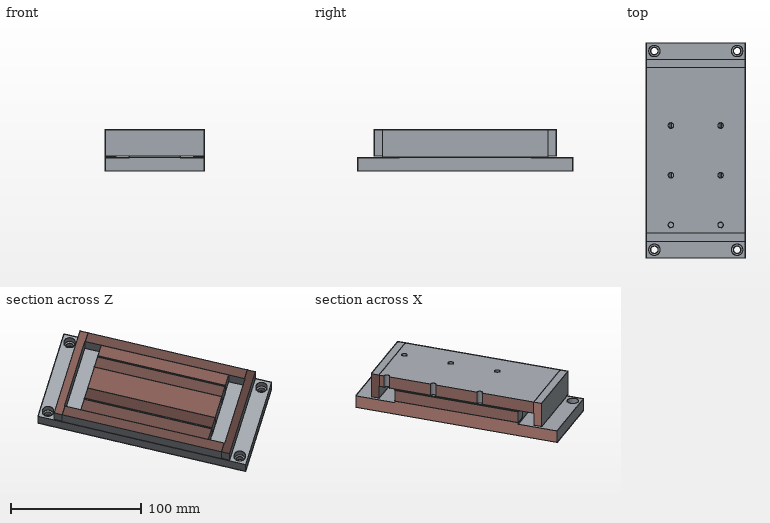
import cadquery as cq


slide_width = 76.2
slide_height = 31.75

base_length = 165.1
base_thickness = 10.3
mount_spacing_x = 63.5
mount_spacing_y = 152.4
mount_hole_diameter = 5.56
mount_head_diameter = 8.73
mount_head_depth = 5.6

carriage_length = 127.0
carriage_clearance = 0.5
cap_length = 6.35
cap_height = 20.32
tap_diameter = 4.17
tap_pitch = 38.1
tap_columns = 2
tap_rows = 3
tap_center_y = -19.05

rail_length = 101.6
rail_width = 9.7
rail_height = 9.5
rail_chamfer = 1.0
rail_gap = 0.2
rail_pair_center = 19.8
ledge_height = 1.4

carriage_bottom = base_thickness + carriage_clearance
cap_bottom = slide_height - cap_height
rail_bottom = base_thickness + ledge_height
rail_top = rail_bottom + rail_height
inner_rail_face = rail_pair_center - rail_gap / 2
outer_rail_face = rail_pair_center + rail_gap / 2
rib_half_width = inner_rail_face - rail_width
leg_inner_face = outer_rail_face + rail_width


def block(width, length, bottom, top, y=0.0):
    """Box centred on X = 0 that spans the given levels."""
    box = cq.Workplane("XY").box(width, length, top - bottom, centered=(True, True, False))
    return box.translate((0, y, bottom))


def make_base():
    """Plate with a ledge under the inner rails, a rib between them and counterbored corner holes."""
    plate = block(slide_width, base_length, 0, base_thickness)
    ledge = block(2 * inner_rail_face, rail_length, base_thickness, rail_bottom)
    rib = block(2 * rib_half_width, rail_length, rail_bottom, rail_top)
    plate = (
        plate.faces(">Z").workplane()
        .rect(mount_spacing_x, mount_spacing_y, forConstruction=True).vertices()
        .cboreHole(mount_hole_diameter, mount_head_diameter, mount_head_depth)
    )
    return plate.union(ledge).union(rib)


def make_carriage():
    """Inverted channel whose legs hold the outer rails, relieved above the inner rails and the rib."""
    body = block(slide_width, carriage_length, carriage_bottom, slide_height)
    channel = block(2 * leg_inner_face, carriage_length, carriage_bottom, rail_top)
    relief = block(2 * outer_rail_face, carriage_length, rail_top, rail_top + carriage_clearance)
    taps = (
        cq.Workplane("XY").workplane(offset=rail_top).center(0, tap_center_y)
        .rarray(tap_pitch, tap_pitch, tap_columns, tap_rows)
        .circle(tap_diameter / 2).extrude(slide_height - rail_top)
    )
    return body.cut(channel).cut(relief).cut(taps)


def make_end_cap(side):
    """Plain plate closing one end of the carriage."""
    center_y = side * (carriage_length + cap_length) / 2
    return block(slide_width, cap_length, cap_bottom, slide_height, center_y)


def make_inner_rail():
    """Rail on the +X side of the base rib, with its upper running edge chamfered."""
    return (
        block(rail_width, rail_length, rail_bottom, rail_top)
        .faces(">X").edges(">Z").chamfer(rail_chamfer)
        .translate((rib_half_width + rail_width / 2, 0, 0))
    )


def make_outer_rail():
    """The same rail turned half a turn about the line midway between the two facing rails."""
    mid_height = (rail_bottom + rail_top) / 2
    axis_start = (rail_pair_center, 0, mid_height)
    axis_end = (rail_pair_center, 1, mid_height)
    return make_inner_rail().rotate(axis_start, axis_end, 180)


base = make_base()
carriage = make_carriage()
end_caps = [make_end_cap(side) for side in (-1, 1)]

rails = []
for make_rail in (make_inner_rail, make_outer_rail):
    right_rail = make_rail()
    rails += [right_rail, right_rail.mirror("YZ")]

result = cq.Compound.makeCompound([body.val() for body in (base, carriage, *end_caps, *rails)])